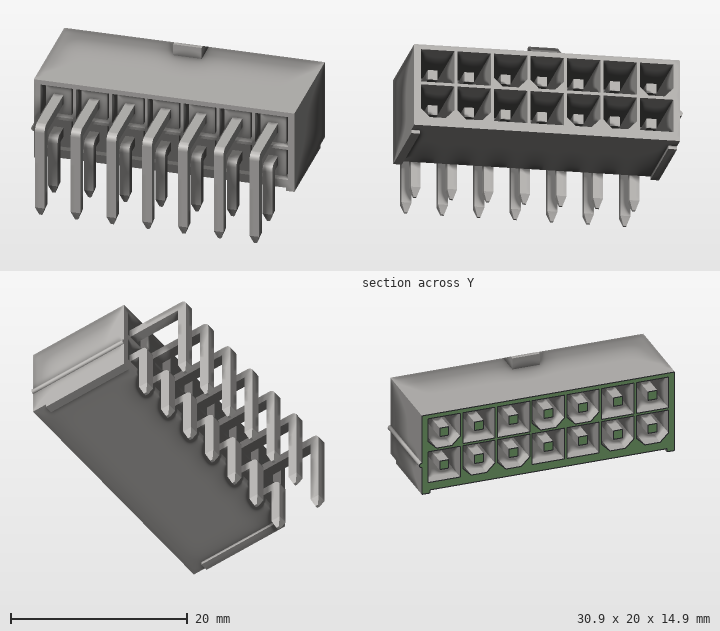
import cadquery as cq


COLUMNS = 7
PITCH = 4.2

END_MARGIN = 0.6
HOUSING_LENGTH = COLUMNS * PITCH + 2 * END_MARGIN
HOUSING_DEPTH = 12.8
FOOT_HEIGHT = 0.4
FOOT_WIDTH = 1.0
FOOT_SETBACK = 1.8
HOUSING_TOP = 10.05

PARTITION = 0.35
CELL_SIZE = PITCH - PARTITION
ROOF = 0.57
UPPER_CELL_Z = HOUSING_TOP - ROOF - CELL_SIZE / 2
LOWER_CELL_Z = UPPER_CELL_Z - PITCH
KEY_CHAMFER = 1.0
KEYED_UPPER_COLUMNS = (0, 3, 4)

PAD_WIDTH = 3.05
PAD_RECESS = 0.8
PAD_THICKNESS = 2.0
PAD_BACK = PAD_RECESS + PAD_THICKNESS

LATCH_WIDTH = 3.35
LATCH_DEPTH = 3.0
LATCH_FLAT = 0.5
LATCH_HEIGHT = 1.4
RIB_RADIUS = 0.32
RIB_DROP = 6.33

PIN_SIZE = 1.14
PIN_BEND_RADIUS = 0.8
PIN_TIP_Z = -3.45
PIN_TIP_LENGTH = 1.07
PIN_TIP_WIDTH = 0.35
PIN_MATING_SETBACK = 3.0
PIN_MATING_END = HOUSING_DEPTH - PIN_MATING_SETBACK
UPPER_PIN_DROP = 1.95
UPPER_PIN_TOP = HOUSING_TOP - UPPER_PIN_DROP
LOWER_PIN_TOP = UPPER_PIN_TOP - PITCH
UPPER_PIN_REACH = 7.17
LEG_SPACING = 5.5
LOWER_PIN_REACH = UPPER_PIN_REACH - LEG_SPACING


def box(x_center, width, y_start, y_end, z_start, z_end):
    """Block centred on x_center, spanning the given Y and Z ranges."""
    block = cq.Workplane("XY").box(width, y_end - y_start, z_end - z_start, centered=(True, False, False))
    return block.translate((x_center, y_start, z_start))


def column_x(column):
    return (column - (COLUMNS - 1) / 2) * PITCH


def make_shell():
    shell = box(0, HOUSING_LENGTH, 0, HOUSING_DEPTH, FOOT_HEIGHT, HOUSING_TOP)
    foot_x = (HOUSING_LENGTH - FOOT_WIDTH) / 2
    for x in (-foot_x, foot_x):
        shell = shell.union(box(x, FOOT_WIDTH, 0, HOUSING_DEPTH - FOOT_SETBACK, 0, 2 * FOOT_HEIGHT))
    return shell


def make_latch():
    mating_face = HOUSING_DEPTH
    pin_side = mating_face - LATCH_DEPTH
    crest = HOUSING_TOP + LATCH_HEIGHT
    return (
        cq.Workplane("YZ")
        .moveTo(mating_face, HOUSING_TOP)
        .lineTo(pin_side + LATCH_FLAT, crest)
        .lineTo(pin_side, crest)
        .lineTo(pin_side, HOUSING_TOP)
        .close()
        .extrude(LATCH_WIDTH / 2, both=True)
    )


def make_rib():
    """Round rod half sunk into the -X end, leaving a half-round rib."""
    return (
        cq.Workplane("XZ")
        .center(-HOUSING_LENGTH / 2, HOUSING_TOP - RIB_DROP)
        .circle(RIB_RADIUS)
        .extrude(-HOUSING_DEPTH)
    )


def make_cell(x, z, keyed):
    """Cell void; a keyed cell has its lower corners cut off from the pad back to the mating face."""
    half = CELL_SIZE / 2
    if not keyed:
        return box(x, CELL_SIZE, 0, HOUSING_DEPTH, z - half, z + half)
    entry = box(x, CELL_SIZE, 0, PAD_BACK, z - half, z + half)
    keyed_part = box(x, CELL_SIZE, PAD_BACK, HOUSING_DEPTH, z - half, z + half)
    return entry.union(keyed_part.edges("|Y and <Z").chamfer(KEY_CHAMFER))


def make_pad(x, z):
    return box(x, PAD_WIDTH, PAD_RECESS, PAD_BACK, z - CELL_SIZE / 2, z + CELL_SIZE / 2)


def make_pin(x, top, reach):
    """Square pin: horizontal arm through the pad, rounded bend and a leg with a tapered tip."""
    leg_end = PIN_TIP_Z + PIN_TIP_LENGTH
    arm = box(x, PIN_SIZE, -reach, PIN_MATING_END, top - PIN_SIZE, top)
    leg = box(x, PIN_SIZE, -reach, PIN_SIZE - reach, leg_end, top)
    bent = arm.union(leg).edges("|X and <Y and >Z").fillet(PIN_BEND_RADIUS)
    tip = (
        cq.Workplane("XY", origin=(x, PIN_SIZE / 2 - reach, leg_end))
        .rect(PIN_SIZE, PIN_SIZE)
        .workplane(offset=-PIN_TIP_LENGTH)
        .rect(PIN_TIP_WIDTH, PIN_TIP_WIDTH)
        .loft()
    )
    return bent.union(tip)


result = make_shell().union(make_latch()).union(make_rib())

for column in range(COLUMNS):
    x = column_x(column)
    upper_keyed = column in KEYED_UPPER_COLUMNS
    rows = (
        (UPPER_CELL_Z, UPPER_PIN_TOP, UPPER_PIN_REACH, upper_keyed),
        (LOWER_CELL_Z, LOWER_PIN_TOP, LOWER_PIN_REACH, not upper_keyed),
    )
    for cell_z, pin_top, pin_reach, keyed in rows:
        result = result.cut(make_cell(x, cell_z, keyed))
        result = result.union(make_pad(x, cell_z))
        result = result.union(make_pin(x, pin_top, pin_reach))